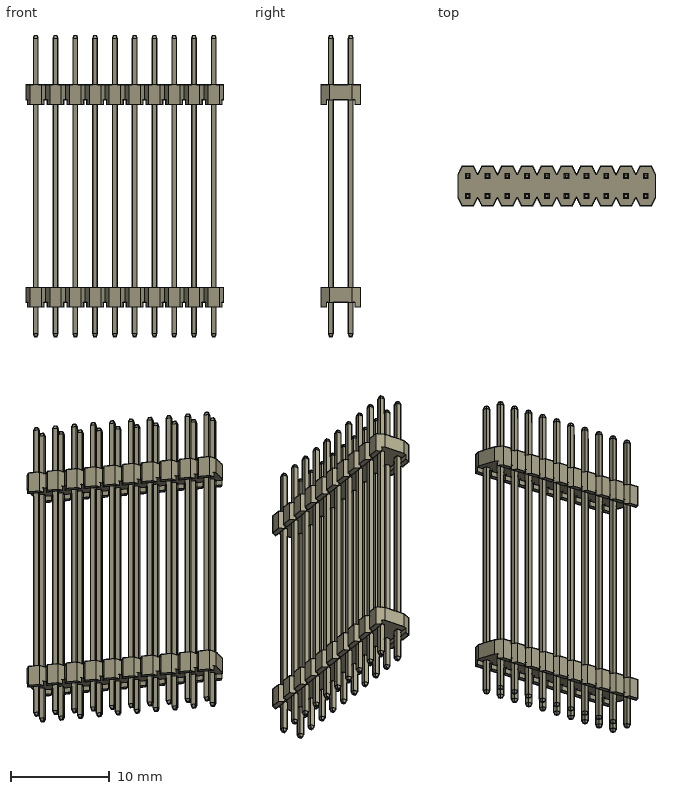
import cadquery as cq

columns = 10
rows = 2
strip_length = 20.0
pitch = strip_length / columns
strip_width = rows * pitch

pin_length = 30.5
pin_side = 0.5
tip_side = 0.27
tip_height = 0.3

body_height = 2.0
lower_body_base = 3.0
pin_above_upper_body = 5.0
upper_body_base = pin_length - pin_above_upper_body - body_height
corner_cut_x = 0.43
corner_cut_y = 0.85

channel_width = 2.87
channel_depth = 0.5


def column_positions():
    return [(column - (columns - 1) / 2) * pitch for column in range(columns)]


def pin_positions():
    row_positions = [(row - (rows - 1) / 2) * pitch for row in range(rows)]
    return [(x, y) for x in column_positions() for y in row_positions]


def body_outline():
    """Outline of a row of octagonal cells; neighbouring corner cuts meet in V notches."""
    half_flat = pitch / 2 - corner_cut_x
    half_width = strip_width / 2
    notch_y = half_width - corner_cut_y
    front_edge = [(-strip_length / 2, -notch_y)]
    for x in column_positions():
        front_edge.append((x - half_flat, -half_width))
        front_edge.append((x + half_flat, -half_width))
        front_edge.append((x + pitch / 2, -notch_y))
    back_edge = [(x, -y) for x, y in reversed(front_edge)]
    return front_edge + back_edge


def insulator_body(base_z):
    body = cq.Workplane("XY").workplane(offset=base_z).polyline(body_outline()).close().extrude(body_height)
    channel = (
        cq.Workplane("XY")
        .workplane(offset=base_z)
        .rect(strip_length, channel_width)
        .extrude(channel_depth)
    )
    return body.cut(channel)


def pin_tip():
    """Tapered tip standing on Z = 0, with its wide end down."""
    return (
        cq.Workplane("XY")
        .rect(pin_side, pin_side)
        .workplane(offset=tip_height)
        .rect(tip_side, tip_side)
        .loft(ruled=True)
    )


def pin():
    shank = (
        cq.Workplane("XY")
        .workplane(offset=tip_height)
        .rect(pin_side, pin_side)
        .extrude(pin_length - 2 * tip_height)
    )
    top_tip = pin_tip().translate((0, 0, pin_length - tip_height))
    bottom_tip = pin_tip().mirror("XY").translate((0, 0, tip_height))
    return shank.union(top_tip).union(bottom_tip)


result = insulator_body(lower_body_base).union(insulator_body(upper_body_base))
single_pin = pin()
for x, y in pin_positions():
    result = result.union(single_pin.translate((x, y, 0)))